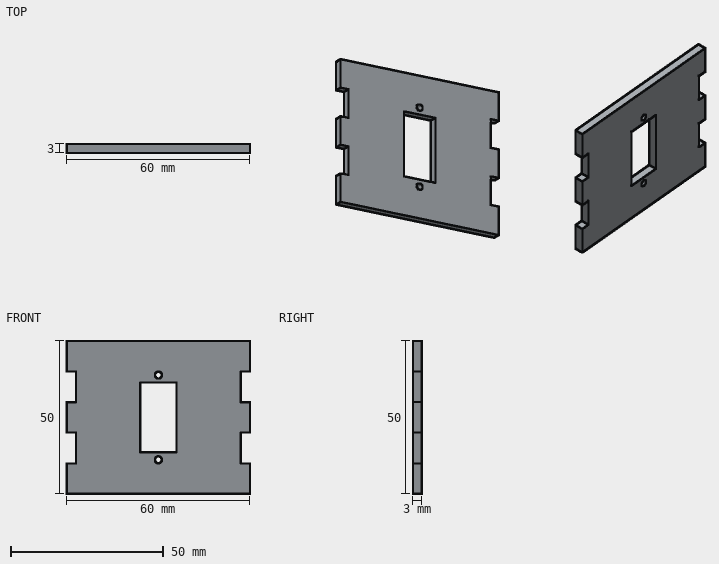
import cadquery as cq

plate_width = 60.0
plate_height = 50.0
plate_thickness = 3.0

side_segments = 5
notch_height = plate_height / side_segments
notch_depth = plate_thickness

window_width = 11.8
window_height = 22.7
screw_hole_diameter = 2.2
screw_hole_spacing = 27.7


def make_plate():
    return cq.Workplane("XY").box(plate_width, plate_thickness, plate_height)


def cut_side_notches(body):
    notch_x = (plate_width - notch_depth) / 2
    for side in (-1, 1):
        for level in (-1, 1):
            notch = cq.Workplane("XY").box(notch_depth, plate_thickness, notch_height)
            body = body.cut(notch.translate((side * notch_x, 0, level * notch_height)))
    return body


def cut_window(body):
    return body.cut(cq.Workplane("XY").box(window_width, plate_thickness, window_height))


def cut_screw_holes(body):
    hole_z = screw_hole_spacing / 2
    holes = (
        cq.Workplane("XZ")
        .pushPoints([(0, -hole_z), (0, hole_z)])
        .circle(screw_hole_diameter / 2)
        .extrude(plate_thickness / 2, both=True)
    )
    return body.cut(holes)


result = cut_screw_holes(cut_window(cut_side_notches(make_plate())))